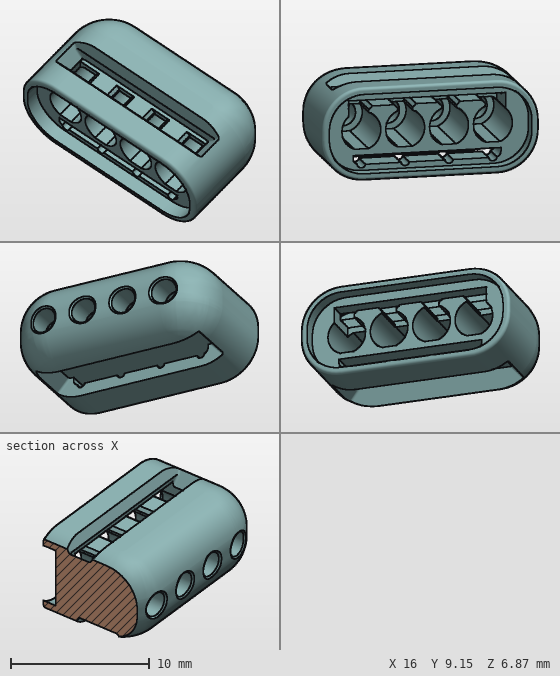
import cadquery as cq
import math

width = 16.02
depth = 9.15
height = 6.87
rear_corner_radius = 3.41
edge_round = 3.08
rim_fillet = 0.24

wall = 0.5
recess_depth = 1.1

bore_count = 4
bore_pitch = 3.25
hole_radius = 0.95
counterbore_radius = 1.44
counterbore_flat = 1.35
counterbore_end = 6.89
mouth_chamfer = 0.15

window_end_slope = 0.9
window_corner_radius = 0.18
top_floor = 1.8
top_half_length = 5.78
top_front = 2.39
top_rear = 4.28
top_bevel_start = 2.61
top_bevel_run = 0.4
bottom_floor = 1.81
bottom_half_length = 5.83
bottom_front = 3.17
bottom_rear = 7.02
bottom_rear_angle = 14.3

top_slot_half_length = 5.83
top_slot_roof = 2.26
top_slot_end = 4.21
notch_end = 3.95
notch_half_width = 0.56
notch_taper_start = 1.54

bottom_slot_half_length = 5.48
bottom_slot_floor = 2.5
bottom_slot_corner = 0.45
groove_radius = 0.3
groove_centre = 2.45

half_height = height / 2
bore_positions = [(i - (bore_count - 1) / 2) * bore_pitch for i in range(bore_count)]


def front_sketch():
    """Sketch plane on the front face, facing +Y; local x is X and local y is -Z."""
    return cq.Workplane(cq.Plane(origin=(0, 0, 0), xDir=(1, 0, 0), normal=(0, 1, 0)))


def box(x_range, y_range, z_range):
    """Box between the given limits."""
    lower, upper = zip(x_range, y_range, z_range)
    size = [b - a for a, b in zip(lower, upper)]
    return cq.Workplane("XY").box(*size, centered=False).translate(lower)


def make_body():
    """Block with rounded rear corners and large rounds on its top and bottom edges."""
    body = cq.Workplane("XY").box(width, depth, height).translate((0, depth / 2, 0))
    body = body.edges("|Z and >Y").fillet(rear_corner_radius)
    body = body.faces("<Z or >Z").edges("not <Y").fillet(edge_round)
    return body.faces("<Y").edges().fillet(rim_fillet)


def make_recess():
    """Front recess that leaves an even wall all round."""
    recess = front_sketch().rect(width - 2 * wall, height - 2 * wall).extrude(recess_depth)
    return recess.edges("|Y").fillet(edge_round - wall)


def make_window(floor, half_length, side_profile):
    """Upward-opening window: (y, z) side profile, with ends sloping outward."""
    open_half_length = half_length + window_end_slope * (half_height - floor)
    ends = (
        front_sketch()
        .polyline([
            (-half_length, -floor),
            (half_length, -floor),
            (open_half_length, -half_height),
            (-open_half_length, -half_height),
        ])
        .close()
        .extrude(depth)
    )
    sides = cq.Workplane("YZ").polyline(side_profile).close().extrude(width / 2, both=True)
    window = ends.intersect(sides)
    return window.edges("not (|X or |Y)").fillet(window_corner_radius)


def make_top_window():
    """Window with upright walls that bevel outward near the top."""
    side_profile = [
        (top_front, top_floor),
        (top_front, top_bevel_start),
        (top_front - top_bevel_run, half_height),
        (top_rear + top_bevel_run, half_height),
        (top_rear, top_bevel_start),
        (top_rear, top_floor),
    ]
    return make_window(top_floor, top_half_length, side_profile)


def make_bottom_window():
    """Window through the underside, with an upright front wall and a leaning rear wall."""
    lean = (half_height - bottom_floor) * math.tan(math.radians(bottom_rear_angle))
    side_profile = [
        (bottom_front, bottom_floor),
        (bottom_front, half_height),
        (bottom_rear, half_height),
        (bottom_rear - lean, bottom_floor),
    ]
    return make_window(bottom_floor, bottom_half_length, side_profile).mirror("XY")


def drill_holes(body):
    """Drill the row of through holes and chamfer their curved rear mouths."""
    points = [(x, 0) for x in bore_positions]
    holes = front_sketch().pushPoints(points).circle(hole_radius).extrude(depth)
    drilled = body.cut(holes)
    margin = 0.02
    reach_x = bore_positions[-1] + hole_radius + margin
    reach_z = hole_radius + margin
    mouth_zone = cq.selectors.BoxSelector(
        (-reach_x, depth - hole_radius, -reach_z),
        (reach_x, depth + margin, reach_z),
        boundingbox=True,
    )
    return drilled.edges(mouth_zone).edges("not |X").chamfer(mouth_chamfer)


def make_counterbores():
    """Counterbores from the front, flattened above and below."""
    points = [(x, 0) for x in bore_positions]
    rounds = front_sketch().pushPoints(points).circle(counterbore_radius).extrude(counterbore_end)
    flats = front_sketch().rect(width, 2 * counterbore_flat).extrude(counterbore_end)
    return rounds.intersect(flats)


def make_notch(x):
    """Notch between the top slot and a bore, flaring at 45 degrees below the slot floor."""
    flare = notch_half_width + top_floor - notch_taper_start
    return (
        front_sketch()
        .polyline([
            (x - notch_half_width, 0),
            (x + notch_half_width, 0),
            (x + notch_half_width, -notch_taper_start),
            (x + flare, -top_floor),
            (x - flare, -top_floor),
            (x - notch_half_width, -notch_taper_start),
        ])
        .close()
        .extrude(notch_end)
    )


def make_top_slot():
    """Slot from the recess into the top window, with the bore notches below it."""
    x_range = (-top_slot_half_length, top_slot_half_length)
    slot = box(x_range, (0, top_slot_end), (top_floor, top_slot_roof))
    for x in bore_positions:
        slot = slot.union(make_notch(x))
    last_bore = bore_positions[-1]
    end_notch = box((last_bore, top_slot_half_length), (0, notch_end), (0, top_floor))
    return slot.union(end_notch).union(end_notch.mirror("YZ"))


def make_bottom_slot():
    """Slot from the recess into the bottom window, with a round groove under each bore."""
    x_range = (-bottom_slot_half_length, bottom_slot_half_length)
    slot = box(x_range, (0, bottom_front), (-bottom_slot_floor, -bottom_floor))
    slot = slot.edges("|Y and <Z").fillet(bottom_slot_corner)
    grooves = (
        front_sketch()
        .pushPoints([(x, groove_centre) for x in bore_positions])
        .circle(groove_radius)
        .extrude(bottom_front)
    )
    return slot.union(grooves)


result = drill_holes(make_body())
result = result.cut(make_recess()).cut(make_counterbores())
result = result.cut(make_top_window()).cut(make_top_slot())
result = result.cut(make_bottom_window()).cut(make_bottom_slot())